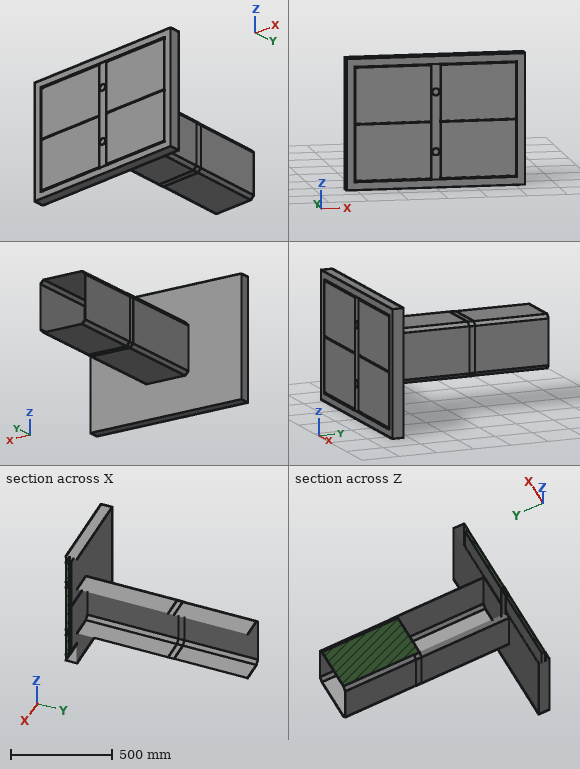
import cadquery as cq

canopy_width = 898.0
canopy_height = 660.0
canopy_depth = 60.0
rim_width = 40.0
wall = 1.0
insert_depth = 19.5

strip_width = 44.0
panel_setback = 1.0
lamp_diameter = 35.0
lamp_spacing = 300.0
lamp_depth = 10.0
panel_rim_gap = 6.0
panel_strip_gap = 3.0
panel_spacing = 4.0

total_length = 975.0
duct_width = 269.0
duct_height = 280.0
duct_chamfer = 19.5
duct_end = 580.0
band_length = 31.0

opening_width = canopy_width - 2 * rim_width
opening_height = canopy_height - 2 * rim_width
lamp_heights = (-lamp_spacing / 2, lamp_spacing / 2)


def block(width, height, start, end, x=0, z=0):
    """Box centred on (x, z), running from Y = start to Y = end."""
    length = end - start
    return cq.Workplane("XY").box(width, length, height).translate((x, start + length / 2, z))


def duct_block(inset, start, end):
    """Chamfered bar whose sides are inset from the lower duct's outside."""
    bar = block(duct_width - 2 * inset, duct_height - 2 * inset, start, end)
    return bar.edges("|Y").chamfer(duct_chamfer)


def make_tube(inset, start, end):
    """Open sheet tube with the given inset of its outside."""
    return duct_block(inset, start, end).cut(duct_block(inset + wall, start, end))


def make_lamp(z):
    """Round lamp set flush into the central strip."""
    return cq.Workplane("XZ").circle(lamp_diameter / 2).extrude(-lamp_depth).translate((0, 0, z))


def make_hood():
    """Hollow sheet canopy with an open face, and the lower duct rising from its back."""
    canopy = block(canopy_width, canopy_height, 0, canopy_depth)
    cavity = block(canopy_width - 2 * wall, canopy_height - 2 * wall, wall, canopy_depth - wall)
    face_opening = block(opening_width, opening_height, 0, canopy_depth / 2)
    duct_start = canopy_depth - wall
    lower_duct = make_tube(0, duct_start, duct_end)
    flue_opening = duct_block(wall, duct_start, canopy_depth)
    return canopy.cut(cavity).cut(face_opening).cut(flue_opening).union(lower_duct)


def make_strip():
    """Strip across the opening, flush with the rim, with a socket for each lamp."""
    strip = block(strip_width, opening_height, 0, insert_depth)
    for z in lamp_heights:
        strip = strip.cut(make_lamp(z))
    return strip


def make_panel(side, level):
    """Filter panel in one quarter of the opening; side and level are -1 or 1."""
    inner_x = strip_width / 2 + panel_strip_gap
    outer_x = opening_width / 2 - panel_rim_gap
    inner_z = panel_spacing / 2
    outer_z = opening_height / 2 - panel_rim_gap
    x = side * (inner_x + outer_x) / 2
    z = level * (inner_z + outer_z) / 2
    return block(outer_x - inner_x, outer_z - inner_z, panel_setback, insert_depth, x, z)


def make_upper_duct():
    """Duct sliding inside the end of the lower duct."""
    start = duct_end - band_length
    return make_tube(wall, start, total_length)


hood = make_hood()
strip = make_strip()
lamps = [make_lamp(z) for z in lamp_heights]
panels = [make_panel(side, level) for side in (-1, 1) for level in (-1, 1)]
upper_duct = make_upper_duct()

bodies = [hood, strip, *lamps, *panels, upper_duct]
result = cq.Compound.makeCompound([body.val() for body in bodies])